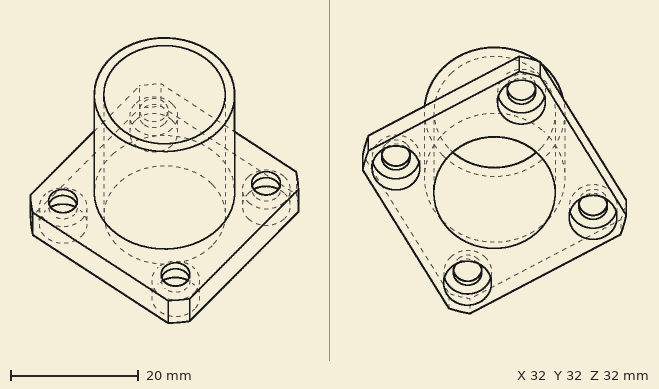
import cadquery as cq

flange_width = 32.0
height = 32.0
flange_thickness = 6.0

corner_circle_diameter = 42.0

tube_diameter = 22.0
bore_diameter = 19.0

bolt_spacing = 22.62
bolt_hole_diameter = 4.48
counterbore_diameter = 7.5
counterbore_depth = 4.4


def make_flange():
    square = cq.Workplane("XY").rect(flange_width, flange_width).extrude(flange_thickness)
    disc = cq.Workplane("XY").circle(corner_circle_diameter / 2).extrude(flange_thickness)
    return square.intersect(disc)


def bolt_pattern_cylinders(diameter, depth):
    """Four upright cylinders at the bolt positions, rising from the underside."""
    positions = cq.Workplane("XY").rect(bolt_spacing, bolt_spacing, forConstruction=True).vertices()
    return positions.circle(diameter / 2).extrude(depth)


tube = cq.Workplane("XY").circle(tube_diameter / 2).extrude(height)
bore = cq.Workplane("XY").circle(bore_diameter / 2).extrude(height)

result = (
    make_flange()
    .union(tube)
    .cut(bore)
    .cut(bolt_pattern_cylinders(bolt_hole_diameter, flange_thickness))
    .cut(bolt_pattern_cylinders(counterbore_diameter, counterbore_depth))
)